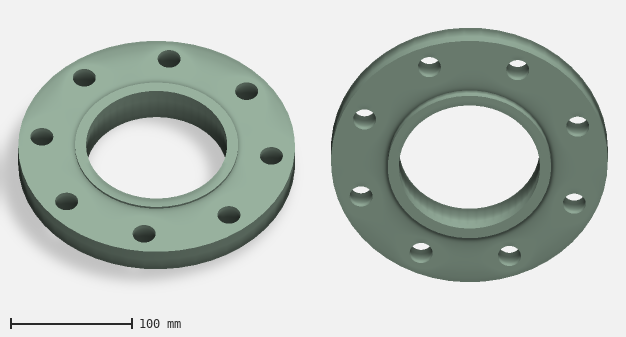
import cadquery as cq

flange_diameter = 228.5
flange_thickness = 22.2
collar_diameter = 134.9
raised_face_height = 2.0
hub_height = 9.1
bore_diameter = 116.5
bolt_hole_diameter = 19.0
bolt_circle_diameter = 190.7
bolt_hole_count = 8

total_height = hub_height + flange_thickness + raised_face_height
bolt_pitch_angle = 360.0 / bolt_hole_count

collar = cq.Workplane("XY").circle(collar_diameter / 2).extrude(total_height)

flange = (
    cq.Workplane("XY")
    .workplane(offset=hub_height)
    .circle(flange_diameter / 2)
    .extrude(flange_thickness)
)

bore = cq.Workplane("XY").circle(bore_diameter / 2).extrude(total_height)

bolt_holes = (
    cq.Workplane("XY")
    .polarArray(bolt_circle_diameter / 2, bolt_pitch_angle / 2, 360, bolt_hole_count)
    .circle(bolt_hole_diameter / 2)
    .extrude(total_height)
)

result = flange.union(collar).cut(bore).cut(bolt_holes)